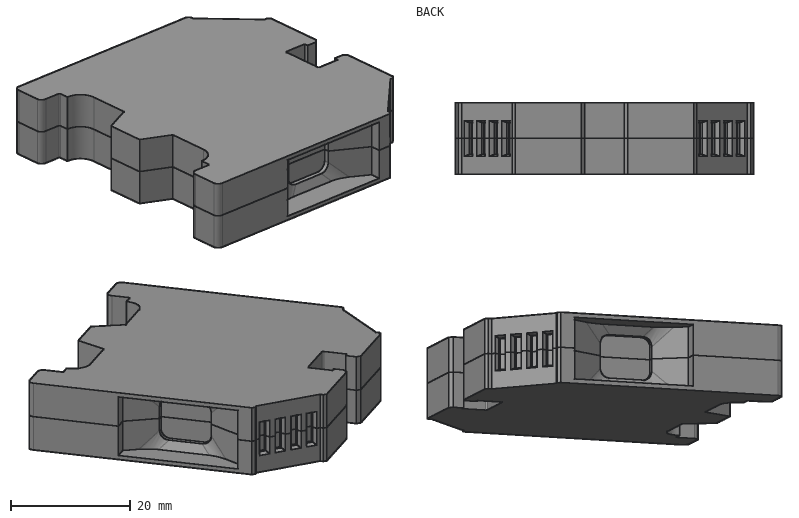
import cadquery as cq
import math

WIDTH = 50.0
HEIGHT = 49.5
THICKNESS = 12.0
HALF_WIDTH = WIDTH / 2
PARTING_Z = THICKNESS / 2

FOOT_INNER_X = 18.45
FOOT_STEP_Y = 4.2
FOOT_RADIUS = 1.0
FOOT_CORNER_RADIUS = 0.2
RELIEF_X = 16.5
RELIEF_RADIUS = 3.0
RELIEF_Y = 7.4

TONGUE_BASE_HALF = 6.0
TONGUE_TIP_HALF = 3.5
TONGUE_TIP_Y = 2.1

MOUTH_HALF = 3.3
MOUTH_DEPTH = 2.5
MOUTH_CHAMFER = 0.6
NOTCH_HALF = 4.05
NOTCH_DEPTH = 6.85
NOTCH_RADIUS = 0.3

SHOULDER = 10.0
SHOULDER_X = HALF_WIDTH - SHOULDER
SHOULDER_Y = HEIGHT - SHOULDER
LIP = 0.45
RECESS_STEP = 0.6

SLOT_COUNT = 4
SLOT_PITCH = 2.96
SLOT_WIDTH = 1.9
SLOT_LENGTH = 6.0
SLOT_DEPTH = 1.35
SLOT_TAPER = 22.5
SLOT_TAPER_DEPTH = 0.8

WINDOW_LOW_Y = 16.0
WINDOW_HIGH_Y = 37.0
WINDOW_HEIGHT = 10.5
FUNNEL_DEPTH = 5.6
FUNNEL_ANGLE = 60.0
THROAT_Y = 26.0
THROAT_WIDTH = 9.1
THROAT_HEIGHT = 7.4
THROAT_RADIUS = 1.6
THROAT_DEPTH = 0.9


def left_profile():
    """Closed outline of everything left of the symmetry plane X = 0."""
    notch_floor_y = HEIGHT - NOTCH_DEPTH
    mouth_bottom_y = HEIGHT - MOUTH_DEPTH
    return (
        cq.Workplane("XY")
        .moveTo(0, TONGUE_TIP_Y)
        .lineTo(-TONGUE_TIP_HALF, TONGUE_TIP_Y)
        .lineTo(-TONGUE_BASE_HALF, RELIEF_Y)
        .lineTo(-RELIEF_X + RELIEF_RADIUS, RELIEF_Y)
        .radiusArc((-RELIEF_X, RELIEF_Y - RELIEF_RADIUS), -RELIEF_RADIUS)
        .lineTo(-RELIEF_X, FOOT_STEP_Y)
        .lineTo(-FOOT_INNER_X + FOOT_CORNER_RADIUS, FOOT_STEP_Y)
        .radiusArc((-FOOT_INNER_X, FOOT_STEP_Y - FOOT_CORNER_RADIUS), -FOOT_CORNER_RADIUS)
        .lineTo(-FOOT_INNER_X, FOOT_RADIUS)
        .radiusArc((-FOOT_INNER_X - FOOT_RADIUS, 0), FOOT_RADIUS)
        .lineTo(-HALF_WIDTH + FOOT_RADIUS, 0)
        .radiusArc((-HALF_WIDTH, FOOT_RADIUS), FOOT_RADIUS)
        .lineTo(-HALF_WIDTH, SHOULDER_Y)
        .lineTo(-HALF_WIDTH + LIP, SHOULDER_Y + LIP)
        .lineTo(-HALF_WIDTH + LIP + RECESS_STEP, SHOULDER_Y + LIP)
        .lineTo(-SHOULDER_X - LIP, HEIGHT - LIP - RECESS_STEP)
        .lineTo(-SHOULDER_X - LIP, HEIGHT - LIP)
        .lineTo(-SHOULDER_X, HEIGHT)
        .lineTo(-MOUTH_HALF - MOUTH_CHAMFER, HEIGHT)
        .lineTo(-MOUTH_HALF, HEIGHT - MOUTH_CHAMFER)
        .lineTo(-MOUTH_HALF, mouth_bottom_y)
        .lineTo(-NOTCH_HALF, mouth_bottom_y)
        .lineTo(-NOTCH_HALF, notch_floor_y + NOTCH_RADIUS)
        .radiusArc((-NOTCH_HALF + NOTCH_RADIUS, notch_floor_y), -NOTCH_RADIUS)
        .lineTo(0, notch_floor_y)
        .close()
    )


def rounded_rectangle(width, height):
    return cq.Sketch().rect(width, height).vertices().fillet(THROAT_RADIUS)


def wire_entry():
    """Cutter for the left wire entry, centred on the parting plane."""
    spread = 2 * FUNNEL_DEPTH * math.tan(math.radians(FUNNEL_ANGLE))
    funnel_mouth = rounded_rectangle(THROAT_WIDTH + spread, THROAT_HEIGHT + spread)
    throat_outline = rounded_rectangle(THROAT_WIDTH, THROAT_HEIGHT)
    funnel_end = throat_outline.moved(cq.Location(cq.Vector(0, 0, FUNNEL_DEPTH)))

    side = cq.Workplane("YZ", origin=(-HALF_WIDTH, THROAT_Y, PARTING_Z))
    funnel = side.placeSketch(funnel_mouth, funnel_end).loft(ruled=True)
    throat = side.workplane(offset=FUNNEL_DEPTH).placeSketch(throat_outline).extrude(THROAT_DEPTH)

    window_y = (WINDOW_LOW_Y + WINDOW_HIGH_Y) / 2
    window = (
        cq.Workplane("YZ", origin=(-HALF_WIDTH, window_y, PARTING_Z))
        .rect(WINDOW_HIGH_Y - WINDOW_LOW_Y, WINDOW_HEIGHT)
        .extrude(FUNNEL_DEPTH)
    )
    return funnel.intersect(window).union(throat)


def shoulder_slots():
    """Cutter for the slots in the left shoulder, square to its recessed face."""
    to_face_middle = (SHOULDER + RECESS_STEP) / 2
    face = cq.Plane(
        origin=(-HALF_WIDTH + to_face_middle, HEIGHT - to_face_middle, PARTING_Z),
        xDir=(1, 1, 0),
        normal=(1, -1, 0),
    )
    inset = SLOT_TAPER_DEPTH * math.tan(math.radians(SLOT_TAPER))
    centers = cq.Workplane(face).rarray(SLOT_PITCH, 1, SLOT_COUNT, 1)
    mouths = centers.rect(SLOT_WIDTH, SLOT_LENGTH).extrude(SLOT_TAPER_DEPTH, taper=SLOT_TAPER)
    straights = centers.rect(SLOT_WIDTH - 2 * inset, SLOT_LENGTH - 2 * inset).extrude(SLOT_DEPTH)
    return mouths.union(straights)


def lower_housing():
    """Housing half below the parting plane, symmetric about X = 0."""
    left_side = left_profile().extrude(PARTING_Z).cut(wire_entry()).cut(shoulder_slots())
    return left_side.union(left_side.mirror("YZ")).solids()


def upper_housing():
    """Housing half above the parting plane, the mirror image of the lower one."""
    return lower_housing().mirror("XY", (0, 0, PARTING_Z)).solids()


lower = lower_housing()
upper = upper_housing()

result = cq.Compound.makeCompound([lower.val(), upper.val()])